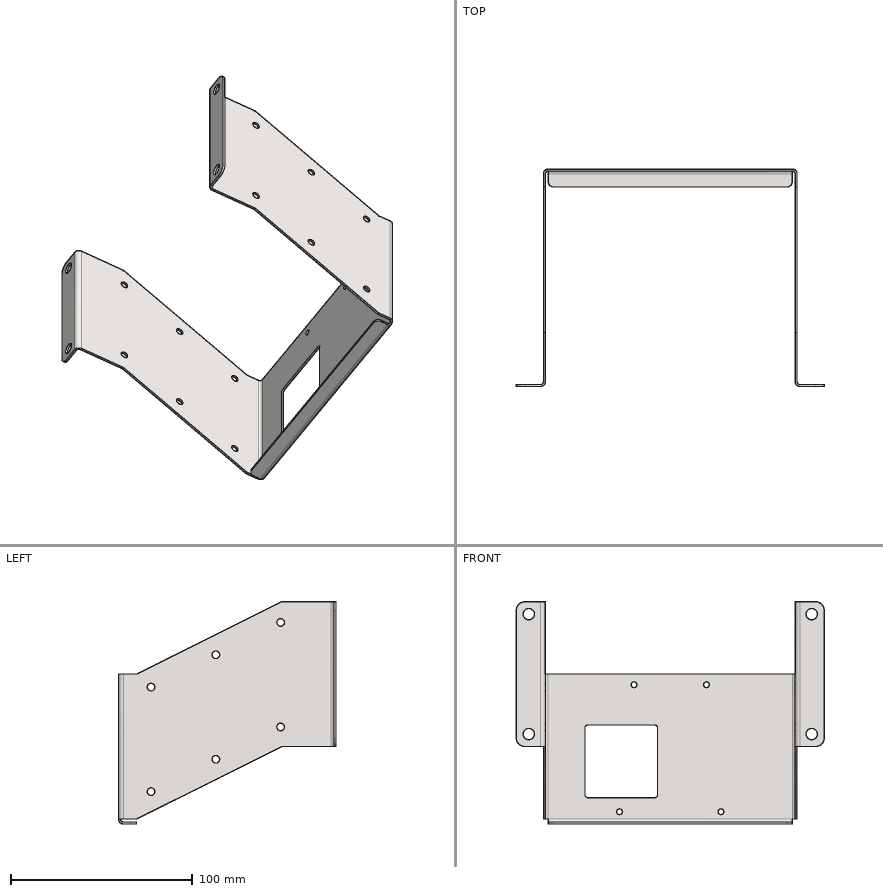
import cadquery as cq
import math

SHEET = 1.2
BEND_OUTER = 2.7
BEND_INNER = BEND_OUTER - SHEET
WIDTH = 170.0
BODY_WIDTH = 140.0
DEPTH = 120.0
PANEL_HEIGHT = 80.0

FRONT_LEVEL = 30.0
BACK_LEVEL = 10.0
DROP = 40.0
SLOPE = math.atan2(DROP, DEPTH - FRONT_LEVEL - BACK_LEVEL)
WALL_HOLE_DIAMETER = 4.0
WALL_HOLE_PITCH = 40.0
WALL_HOLE_EDGE = 10.0
WALL_HOLE_MID_Y = 66.3

FOOT_CORNER = 5.0
FOOT_HOLE_DIAMETER = 6.1
FOOT_HOLE_EDGE = 7.0

BACK_HOLE_DIAMETER = 3.0
UPPER_HOLE_SPACING = 40.0
UPPER_HOLE_EDGE = 6.0
LOWER_HOLE_SPACING = 56.0
LOWER_HOLE_EDGE = 4.0
WINDOW_SIZE = 40.0
WINDOW_X = -27.0
WINDOW_SILL = 11.9
WINDOW_CORNER = 1.5

LIP_REACH = 10.0
LIP_CORNER = 3.0
LIP_WIDTH = BODY_WIDTH - 2 * BEND_OUTER

TOP = PANEL_HEIGHT + DROP


def bent_strip():
    """Back plate, walls and feet as one folded strip of full height."""
    wall_x = BODY_WIDTH / 2
    bend_x = wall_x + BEND_INNER
    corner_x = wall_x - BEND_OUTER
    corner_y = DEPTH - BEND_OUTER
    half = (
        cq.Workplane("XY")
        .moveTo(0, DEPTH)
        .lineTo(corner_x, DEPTH)
        .radiusArc((wall_x, corner_y), BEND_OUTER)
        .lineTo(wall_x, BEND_OUTER)
        .radiusArc((bend_x, SHEET), -BEND_INNER)
        .lineTo(WIDTH / 2, SHEET)
        .lineTo(WIDTH / 2, 0)
        .lineTo(bend_x, 0)
        .radiusArc((wall_x - SHEET, BEND_OUTER), BEND_OUTER)
        .lineTo(wall_x - SHEET, corner_y)
        .radiusArc((corner_x, DEPTH - SHEET), -BEND_INNER)
        .lineTo(0, DEPTH - SHEET)
        .close()
        .extrude(TOP)
    )
    return half.union(half.mirror("YZ"))


def side_envelope():
    """Side outline of the walls, extended across the whole width."""
    slope_back = DEPTH - BACK_LEVEL
    outline = [
        (0, DROP),
        (FRONT_LEVEL, DROP),
        (slope_back, 0),
        (DEPTH, 0),
        (DEPTH, PANEL_HEIGHT),
        (slope_back, PANEL_HEIGHT),
        (FRONT_LEVEL, TOP),
        (0, TOP),
    ]
    return cq.Workplane("YZ").polyline(outline).close().extrude(WIDTH / 2, both=True)


def lip():
    """Bend and flange hanging from the lower edge of the back plate."""
    bend_y = DEPTH - BEND_OUTER
    front_y = DEPTH - LIP_REACH
    return (
        cq.Workplane("YZ")
        .moveTo(DEPTH, 0)
        .radiusArc((bend_y, -BEND_OUTER), BEND_OUTER)
        .lineTo(front_y, -BEND_OUTER)
        .lineTo(front_y, -BEND_INNER)
        .lineTo(bend_y, -BEND_INNER)
        .radiusArc((DEPTH - SHEET, 0), -BEND_INNER)
        .close()
        .extrude(LIP_WIDTH / 2, both=True)
        .edges("|Z and <Y")
        .fillet(LIP_CORNER)
    )


def cross_holes(points, diameter):
    """Cutters through both walls at (y, z) points."""
    return cq.Workplane("YZ").pushPoints(points).circle(diameter / 2).extrude(WIDTH / 2, both=True)


def front_holes(points, diameter):
    """Cutters through the feet or the back plate at (x, z) points."""
    return cq.Workplane("XZ").pushPoints(points).circle(diameter / 2).extrude(-DEPTH)


def wall_hole_points():
    """Two rows of three holes, each parallel to the sloping edges."""
    inset = WALL_HOLE_EDGE / math.cos(SLOPE)
    points = []
    for step in (-1, 0, 1):
        y = WALL_HOLE_MID_Y + step * WALL_HOLE_PITCH * math.cos(SLOPE)
        lower_edge = DROP - (y - FRONT_LEVEL) * math.tan(SLOPE)
        points.append((y, lower_edge + inset))
        points.append((y, lower_edge + PANEL_HEIGHT - inset))
    return points


def foot_hole_points():
    x = WIDTH / 2 - FOOT_HOLE_EDGE
    return [(side * x, z) for side in (-1, 1) for z in (DROP + FOOT_HOLE_EDGE, TOP - FOOT_HOLE_EDGE)]


def back_hole_points():
    rows = (
        (UPPER_HOLE_SPACING, PANEL_HEIGHT - UPPER_HOLE_EDGE),
        (LOWER_HOLE_SPACING, LOWER_HOLE_EDGE),
    )
    return [(side * spacing / 2, z) for spacing, z in rows for side in (-1, 1)]


def window():
    """Cutter for the square window with rounded corners."""
    return (
        cq.Workplane("XZ")
        .center(WINDOW_X, WINDOW_SILL + WINDOW_SIZE / 2)
        .rect(WINDOW_SIZE, WINDOW_SIZE)
        .extrude(-DEPTH)
        .edges("|Y")
        .fillet(WINDOW_CORNER)
    )


bracket = bent_strip().intersect(side_envelope())
for foot_side in ("<X", ">X"):
    bracket = bracket.faces(foot_side).edges("|Y").fillet(FOOT_CORNER)

result = (
    bracket.union(lip())
    .cut(cross_holes(wall_hole_points(), WALL_HOLE_DIAMETER))
    .cut(front_holes(foot_hole_points(), FOOT_HOLE_DIAMETER))
    .cut(front_holes(back_hole_points(), BACK_HOLE_DIAMETER))
    .cut(window())
)